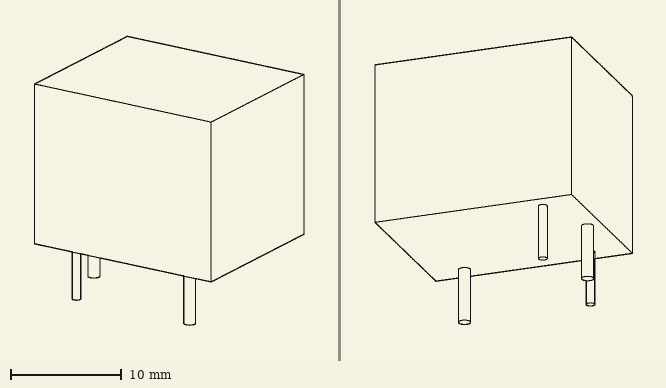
import cadquery as cq

overall_height = 20.4
housing_length = 19.0
housing_width = 15.4
pin_length = 5.1
housing_height = overall_height - pin_length

thick_pin_diameter = 1.1
thin_pin_diameter = 0.8
pin_offset_x = 6.08
pin_offset_y = 6.0
middle_pin_x = -8.1

thick_pin_places = [(middle_pin_x, 0), (pin_offset_x, -pin_offset_y)]
thin_pin_places = [(-pin_offset_x, side * pin_offset_y) for side in (-1, 1)]


def make_housing():
    """Plain block whose underside lies at Z = 0."""
    return cq.Workplane("XY").box(
        housing_length, housing_width, housing_height, centered=(True, True, False)
    )


def make_pin(diameter, place):
    """Round pin hanging from the underside of the housing."""
    return cq.Workplane("XY").center(*place).circle(diameter / 2).extrude(-pin_length)


housing = make_housing()
thick_pins = [make_pin(thick_pin_diameter, place) for place in thick_pin_places]
thin_pins = [make_pin(thin_pin_diameter, place) for place in thin_pin_places]

result = cq.Compound.makeCompound(
    [housing.val()] + [pin.val() for pin in thick_pins + thin_pins]
)